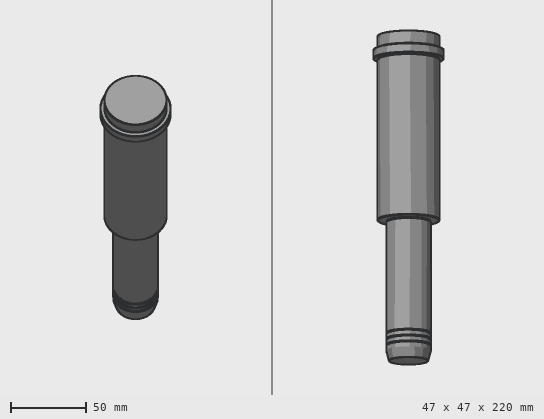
import cadquery as cq

TOTAL_HEIGHT = 220.0

SLEEVE_RADIUS = 21.0
SLEEVE_BOTTOM_Z = 95.0
SLEEVE_CHAMFER = 0.7
HEAD_CHAMFER = 0.5

RING_RADIUS = 23.5
RING_TOP_Z = 210.8
RING_HEIGHT = 6.2
RING_CHAMFER = 0.5

RELIEF_WIDTH = 0.9
RELIEF_DEPTH = 0.5

PIN_RADIUS = 15.0
PIN_NECK_RADIUS = 14.3
PIN_NECK_HEIGHT = 1.0

GROOVE_COUNT = 3
LOWEST_GROOVE_Z = 10.3
GROOVE_PITCH = 4.0
GROOVE_WIDTH = 0.9
GROOVE_DEPTH = 0.7

TIP_HEIGHT = 7.0
TIP_RADIUS = 13.2
TIP_CHAMFER = 0.5


def cylinder(radius, bottom_z, top_z):
    """Solid cylinder on the Z axis between two heights."""
    return cq.Workplane("XY").workplane(offset=bottom_z).circle(radius).extrude(top_z - bottom_z)


def groove_cutter(radius, depth, bottom_z, width):
    """Tube that cuts a square groove into a cylinder of the given radius."""
    outer = cylinder(radius + depth, bottom_z, bottom_z + width)
    return outer.cut(cylinder(radius - depth, bottom_z, bottom_z + width))


def make_sleeve():
    sleeve = cylinder(SLEEVE_RADIUS, SLEEVE_BOTTOM_Z, TOTAL_HEIGHT)
    sleeve = sleeve.faces("<Z").chamfer(SLEEVE_CHAMFER)
    sleeve = sleeve.faces(">Z").chamfer(HEAD_CHAMFER)
    ring_bottom_z = RING_TOP_Z - RING_HEIGHT
    for bottom_z in (ring_bottom_z - RELIEF_WIDTH, RING_TOP_Z):
        sleeve = sleeve.cut(groove_cutter(SLEEVE_RADIUS, RELIEF_DEPTH, bottom_z, RELIEF_WIDTH))
    ring = cylinder(RING_RADIUS, ring_bottom_z, RING_TOP_Z).faces("|Z").chamfer(RING_CHAMFER)
    return sleeve.union(ring)


def make_pin():
    neck_bottom_z = SLEEVE_BOTTOM_Z - PIN_NECK_HEIGHT
    pin = (
        cq.Workplane("XZ")
        .lineTo(TIP_RADIUS - TIP_CHAMFER, 0)
        .lineTo(TIP_RADIUS, TIP_CHAMFER)
        .lineTo(PIN_RADIUS, TIP_HEIGHT)
        .lineTo(PIN_RADIUS, neck_bottom_z)
        .lineTo(PIN_NECK_RADIUS, neck_bottom_z)
        .lineTo(PIN_NECK_RADIUS, SLEEVE_BOTTOM_Z)
        .lineTo(0, SLEEVE_BOTTOM_Z)
        .close()
        .revolve(360, (0, 0), (0, 1))
    )
    for index in range(GROOVE_COUNT):
        bottom_z = LOWEST_GROOVE_Z + index * GROOVE_PITCH
        pin = pin.cut(groove_cutter(PIN_RADIUS, GROOVE_DEPTH, bottom_z, GROOVE_WIDTH))
    return pin


result = make_sleeve().union(make_pin())